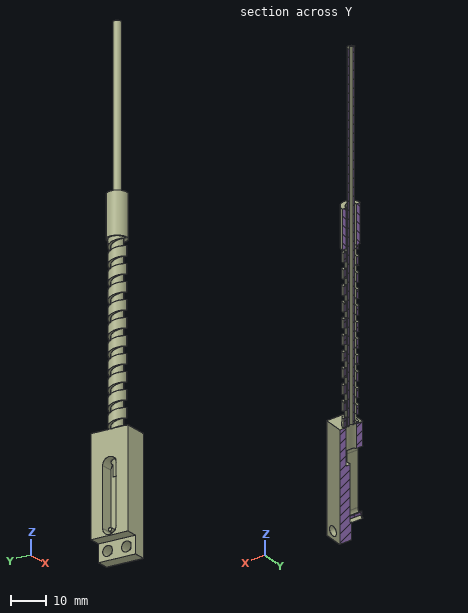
import cadquery as cq

TOTAL_HEIGHT = 164.1

HOUSING_X = 8.2
HOUSING_Y = 12.6
HOUSING_TOP = 38.2
STEP_HEIGHT = 5.7
TAB_THICKNESS = 4.3
TAB_HOLE_DIAMETER = 3.3
TAB_HOLE_SPACING = 6.4
TAB_HOLE_Z = 3.0

SLOT_WIDTH = 4.6
SLOT_BOTTOM = 6.0
SLOT_TOP = 29.9
SLOT_DEPTH = 4.5
BORE_DIAMETER = 3.5
BORE_BOTTOM = 25.5

PIN_DIAMETER = 1.1
PIN_Z = 7.7
PIN_RECESS = 0.3

HOSE_DIAMETER = 5.4
HOSE_TOP = 97.6
GROOVE_TURNS = 10.8
GROOVE_PITCH = (HOSE_TOP - HOUSING_TOP) / GROOVE_TURNS
GROOVE_WIDTH = 2.3
GROOVE_DEPTH = 0.8
GROOVE_START_Z = 31.7
FERRULE_DIAMETER = 6.4
FERRULE_TOP = 111.4

CABLE_DIAMETER = 2.5
CABLE_BORE = 1.1

HOUSING_FACE_X = -HOUSING_X / 2
SLOT_FLOOR_X = HOUSING_FACE_X + SLOT_DEPTH
PIN_TIP_X = HOUSING_FACE_X + PIN_RECESS


def tube(outer_diameter, inner_diameter, bottom, top):
    """A round tube on the Z axis between two heights."""
    ring = cq.Workplane("XY", origin=(0, 0, bottom)).circle(outer_diameter / 2).circle(inner_diameter / 2)
    return ring.extrude(top - bottom)


def make_housing():
    block = cq.Workplane("XY").box(HOUSING_X, HOUSING_Y, HOUSING_TOP, centered=(True, True, False))
    step = (
        cq.Workplane("XY", origin=(HOUSING_FACE_X, 0, 0))
        .box(HOUSING_X - TAB_THICKNESS, HOUSING_Y, STEP_HEIGHT, centered=(False, True, False))
    )
    tab_holes = (
        cq.Workplane("YZ", origin=(HOUSING_FACE_X, 0, TAB_HOLE_Z))
        .pushPoints([(-TAB_HOLE_SPACING / 2, 0), (TAB_HOLE_SPACING / 2, 0)])
        .circle(TAB_HOLE_DIAMETER / 2)
        .extrude(HOUSING_X)
    )
    slot = (
        cq.Workplane("YZ", origin=(HOUSING_FACE_X, 0, (SLOT_BOTTOM + SLOT_TOP) / 2))
        .slot2D(SLOT_TOP - SLOT_BOTTOM, SLOT_WIDTH, 90)
        .extrude(SLOT_DEPTH)
    )
    bore = (
        cq.Workplane("XY", origin=(0, 0, BORE_BOTTOM))
        .circle(BORE_DIAMETER / 2)
        .extrude(HOUSING_TOP - BORE_BOTTOM)
    )
    return block.cut(step).cut(tab_holes).cut(slot).cut(bore)


def make_pin():
    return (
        cq.Workplane("YZ", origin=(PIN_TIP_X, 0, PIN_Z))
        .circle(PIN_DIAMETER / 2)
        .extrude(SLOT_FLOOR_X - PIN_TIP_X)
    )


def make_groove_cutter(bottom, top):
    """A rectangular bar swept along a right-handed helix around the hose."""
    radius = HOSE_DIAMETER / 2
    helix = cq.Wire.makeHelix(GROOVE_PITCH, top - bottom, radius, center=cq.Vector(0, 0, bottom))
    section = cq.Workplane("XZ", origin=(radius, 0, bottom)).rect(2 * GROOVE_DEPTH, GROOVE_WIDTH)
    return section.sweep(cq.Workplane(helix), isFrenet=True)


def make_hose():
    """The grooved tube is made overlong, then cut to length so that the groove runs out at both ends."""
    groove_top = HOSE_TOP + GROOVE_PITCH
    blank = tube(HOSE_DIAMETER, BORE_DIAMETER, GROOVE_START_Z - GROOVE_PITCH, groove_top + GROOVE_PITCH)
    grooved = blank.cut(make_groove_cutter(GROOVE_START_Z, groove_top))
    kept_length = (
        cq.Workplane("XY", origin=(0, 0, HOUSING_TOP))
        .circle(HOSE_DIAMETER)
        .extrude(HOSE_TOP - HOUSING_TOP)
    )
    return grooved.intersect(kept_length)


def make_ferrule():
    return tube(FERRULE_DIAMETER, BORE_DIAMETER, HOSE_TOP, FERRULE_TOP)


def make_cable():
    return tube(CABLE_DIAMETER, CABLE_BORE, HOUSING_TOP, TOTAL_HEIGHT)


housing = make_housing()
pin = make_pin()
hose = make_hose()
ferrule = make_ferrule()
cable = make_cable()

result = cq.Compound.makeCompound(
    [housing.val(), pin.val(), hose.val(), ferrule.val(), cable.val()]
)